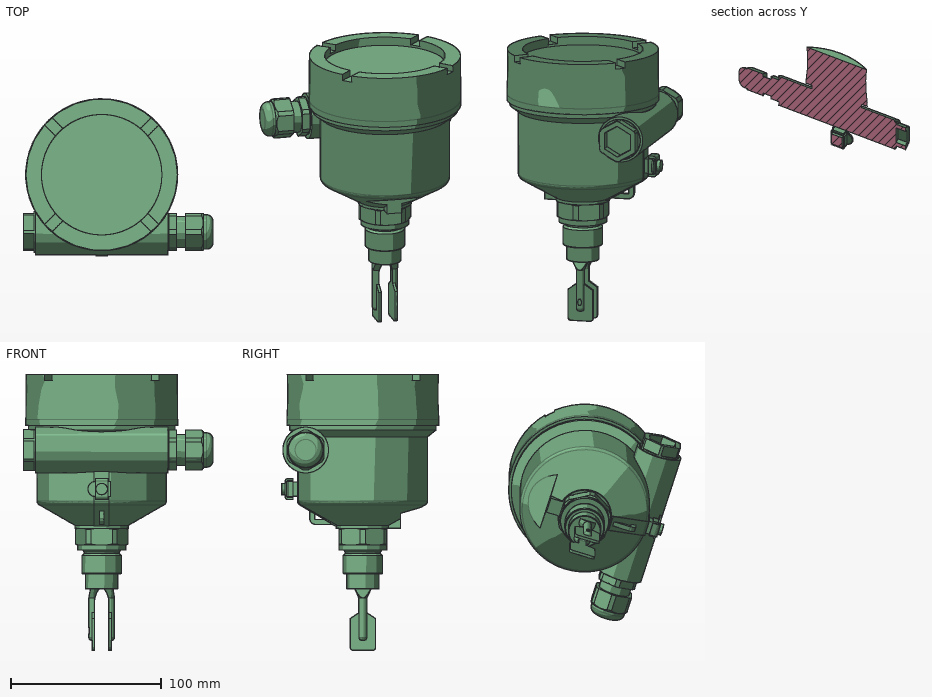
import cadquery as cq
import math


total_height = 183.3
lid_top_radius = 50.2
lid_rim_radius = 50.5
lid_bottom_z = 149.3
lid_rim_height = 4.0
lid_recess_radius = 40.0
lid_recess_depth = 5.7
lid_notch_width = 7.0
lid_notch_depth = 4.2
lid_notch_count = 4
lid_notch_first_angle = 45

collar_radius = 48.7
collar_bottom_z = 146.3
collar_cone_bottom_z = 141.8
body_radius = 43.0
body_bottom_z = 97.5
body_edge_fillet = 3.0
neck_radius = 17.8
neck_top_z = 83.0
neck_bottom_z = 81.0

relief_y = 25.0
relief_inner_z = 90.9
relief_outer_y = 41.0
relief_outer_z = 95.6
rear_block_width = 10.0

strip_width = 10.0
strip_thickness = 0.5
eye_width = 3.0
eye_bar = 3.4
eye_front_y = -35.3
eye_bottom_z = 83.5
eye_corner_radius = 4.0

connection_hex_flats = 32.0
connection_hex_round = 17.5
connection_hex_chamfer = 0.6
connection_hex_bottom_z = 70.0
washer_radius = 16.0
washer_bottom_z = 66.5
groove_top_radius = 12.6
groove_radius = 11.7
groove_top_z = 65.3
groove_bottom_z = 64.3
thread_radius = 13.2
thread_top_z = 62.9
thread_bottom_z = 50.7
thread_chamfer = 0.6
stem_radius = 10.8
stem_bottom_z = 40.6
stem_chamfer = 0.4

tine_radius = 2.75
tine_center_x = 5.85
tine_inner_x = 4.6
tine_top_z = 34.8
tine_bottom_z = 6.6
tine_end_fillet = 2.0
root_radius = 5.4
root_outer_x = 7.6
root_inner_x = 1.8
root_arch_bottom_z = 33.5
root_arch_mid = (3.6, 37.4)
paddle_thickness = 1.8
paddle_width = 17.0
paddle_shoulder_z = 21.1
paddle_top_z = 25.0
paddle_corner_radius = 2.0
dimple_width = 2.6
dimple_height = 4.4
dimple_center_z = 13.0
dimple_depth = 0.5

tube_y = -38.0
tube_z = 133.0
tube_radius = 15.2
tube_half_length = 44.0

fitting_hex_flats = 24.5
plug_round = 13.65
plug_collar_length = 1.0
plug_hex_length = 7.0
plug_socket_flats = 18.0
plug_socket_depth = 7.0

gland_round = 13.35
gland_gap = 0.6
gland_gap_radius = 12.25
gland_hex_end_x = 49.7
gland_neck_radius = 10.4
gland_neck_end_x = 55.6
gland_nut_end_x = 67.7
gland_nut_chamfer = 1.4
gland_cap_radius = 11.5
gland_cap_end_x = 74.0
gland_cap_fillet = 4.5

terminal_z = 107.1
terminal_boss_height = 9.6
terminal_boss_end_y = -46.3
terminal_pad_width = 10.4
terminal_pad_height = 10.2
terminal_pad_end_y = -49.7
terminal_washer_radius = 5.1
terminal_washer_center_x = -4.0
terminal_washer_right_x = 6.0
terminal_washer_end_y = -50.8
clamp_width = 8.5
clamp_front_y = -51.6
clamp_height = 14.0
clamp_thickness = 1.5
clamp_fillet = 1.8
screw_radius = 3.8
screw_end_y = -53.95


def cylinder_x(radius, start_x, end_x):
    """Cylinder on the tube axis between two X positions."""
    return (
        cq.Workplane("YZ", origin=(start_x, tube_y, tube_z))
        .circle(radius)
        .extrude(end_x - start_x)
    )


def hex_x(flats, start_x, end_x):
    """Hexagonal bar on the tube axis with corners up and down."""
    corner_diameter = flats / math.cos(math.pi / 6)
    return (
        cq.Workplane("YZ", origin=(start_x, tube_y, tube_z))
        .transformed(rotate=(0, 0, 90))
        .polygon(6, corner_diameter)
        .extrude(end_x - start_x)
    )


def prism_x(points, width):
    """Prism with a YZ outline, centred on X = 0."""
    return cq.Workplane("YZ").polyline(points).close().extrude(width / 2, both=True)


def make_lid():
    rim_top_z = lid_bottom_z + lid_rim_height
    lid = (
        cq.Workplane("XZ")
        .polyline([
            (0, lid_bottom_z),
            (lid_rim_radius, lid_bottom_z),
            (lid_rim_radius, rim_top_z),
            (lid_top_radius, total_height),
            (0, total_height),
        ])
        .close()
        .revolve(360, (0, 0), (0, 1))
    )
    recess = (
        cq.Workplane("XY", origin=(0, 0, total_height - lid_recess_depth))
        .circle(lid_recess_radius)
        .extrude(lid_recess_depth)
    )
    lid = lid.cut(recess)
    notch_length = 2 * lid_rim_radius - lid_recess_radius
    for index in range(lid_notch_count):
        notch = (
            cq.Workplane("XY", origin=(0, 0, total_height - lid_notch_depth))
            .center(notch_length, 0)
            .rect(notch_length, lid_notch_width)
            .extrude(lid_notch_depth)
            .rotate((0, 0, 0), (0, 0, 1), lid_notch_first_angle + index * 360 / lid_notch_count)
        )
        lid = lid.cut(notch)
    return lid


def make_housing():
    housing = (
        cq.Workplane("XZ")
        .polyline([
            (0, lid_bottom_z),
            (collar_radius, lid_bottom_z),
            (collar_radius, collar_bottom_z),
            (body_radius, collar_cone_bottom_z),
            (body_radius, body_bottom_z),
            (neck_radius, neck_top_z),
            (neck_radius, neck_bottom_z),
            (0, neck_bottom_z),
        ])
        .close()
        .revolve(360, (0, 0), (0, 1))
    )
    lower_edge = cq.selectors.NearestToPointSelector((0, 0, body_bottom_z))
    housing = housing.edges(lower_edge).fillet(body_edge_fillet)
    relief = prism_x(
        [
            (relief_y, neck_bottom_z),
            (relief_y, relief_inner_z),
            (relief_outer_y, relief_outer_z),
            (relief_outer_y, neck_bottom_z),
        ],
        2 * body_radius,
    )
    rear_block = prism_x(
        [(0, neck_bottom_z), (relief_y, neck_bottom_z), (relief_y, relief_inner_z), (0, relief_inner_z)],
        rear_block_width,
    )
    return housing.cut(relief).union(rear_block)


def make_strip():
    front_y = -body_radius - strip_thickness
    strip = prism_x(
        [
            (0, tube_z),
            (front_y, tube_z),
            (front_y, body_bottom_z),
            (-neck_radius - strip_thickness, neck_top_z - strip_thickness),
            (0, neck_top_z - strip_thickness),
        ],
        strip_width,
    )
    lower_edge = cq.selectors.NearestToPointSelector((0, front_y, body_bottom_z))
    return strip.edges(lower_edge).fillet(body_edge_fillet)


def make_cable_eye():
    """L-shaped bar that leaves an opening against the cone."""
    inner_y = eye_front_y + eye_bar
    inner_z = eye_bottom_z + eye_bar
    cone_slope = (body_bottom_z - neck_top_z) / (body_radius - neck_radius)
    upright_top_z = neck_top_z + cone_slope * (-inner_y - neck_radius)
    eye = prism_x(
        [
            (-neck_radius, eye_bottom_z),
            (eye_front_y, eye_bottom_z),
            (eye_front_y, upright_top_z + eye_bar / 2),
            (inner_y, upright_top_z + eye_bar / 2),
            (inner_y, inner_z),
            (-neck_radius, inner_z),
        ],
        eye_width,
    )
    corner = cq.selectors.NearestToPointSelector((0, eye_front_y, eye_bottom_z))
    return eye.edges(corner).fillet(eye_corner_radius)


def make_connection():
    hex_corner_diameter = connection_hex_flats / math.cos(math.pi / 6)
    hex_height = neck_bottom_z - connection_hex_bottom_z
    hex_body = (
        cq.Workplane("XY", origin=(0, 0, connection_hex_bottom_z))
        .polygon(6, hex_corner_diameter)
        .extrude(hex_height)
    )
    hex_round = (
        cq.Workplane("XY", origin=(0, 0, connection_hex_bottom_z))
        .circle(connection_hex_round)
        .extrude(hex_height)
        .edges()
        .chamfer(connection_hex_chamfer, 2 * connection_hex_chamfer)
    )
    turned = (
        cq.Workplane("XZ")
        .polyline([
            (0, connection_hex_bottom_z),
            (washer_radius, connection_hex_bottom_z),
            (washer_radius, washer_bottom_z),
            (groove_top_radius, washer_bottom_z),
            (groove_radius, groove_top_z),
            (groove_radius, groove_bottom_z),
            (thread_radius, thread_top_z),
            (thread_radius, thread_bottom_z + thread_chamfer),
            (thread_radius - thread_chamfer, thread_bottom_z),
            (stem_radius, thread_bottom_z),
            (stem_radius, stem_bottom_z + stem_chamfer),
            (stem_radius - stem_chamfer, stem_bottom_z),
            (0, stem_bottom_z),
        ])
        .close()
        .revolve(360, (0, 0), (0, 1))
    )
    return turned.union(hex_body.intersect(hex_round))


def make_tine():
    """Tine on the +X side: flared root, half-round rod and flat paddle."""
    tine_outer_x = tine_center_x + tine_radius
    rod = (
        cq.Workplane("XY", origin=(tine_center_x, 0, tine_bottom_z))
        .circle(tine_radius)
        .extrude(tine_top_z - tine_bottom_z)
        .faces("<Z")
        .edges()
        .fillet(tine_end_fillet)
    )
    root = (
        cq.Workplane("XY", origin=(tine_center_x, 0, root_arch_bottom_z))
        .circle(tine_radius)
        .extrude(tine_top_z - root_arch_bottom_z)
        .faces(">Z")
        .workplane()
        .circle(tine_radius)
        .workplane(offset=stem_bottom_z - tine_top_z)
        .circle(root_radius)
        .loft()
    )
    side_outline = (
        cq.Workplane("XZ")
        .moveTo(tine_inner_x, 0)
        .lineTo(tine_inner_x, root_arch_bottom_z)
        .threePointArc(root_arch_mid, (root_inner_x, stem_bottom_z))
        .lineTo(root_outer_x, stem_bottom_z)
        .lineTo(tine_outer_x, tine_top_z)
        .lineTo(tine_outer_x, 0)
        .close()
        .extrude(root_radius, both=True)
    )
    half_width = paddle_width / 2
    paddle = (
        cq.Workplane("YZ", origin=(tine_inner_x, 0, 0))
        .polyline([
            (-half_width, 0),
            (half_width, 0),
            (half_width, paddle_shoulder_z),
            (tine_radius, paddle_top_z),
            (-tine_radius, paddle_top_z),
            (-half_width, paddle_shoulder_z),
        ])
        .close()
        .extrude(paddle_thickness)
        .edges("|X and <Z")
        .fillet(paddle_corner_radius)
    )
    return rod.union(root).intersect(side_outline).union(paddle)


def make_fork():
    right_tine = make_tine()
    left_tine = right_tine.mirror("YZ")
    dimple = (
        cq.Workplane("YZ", origin=(-tine_center_x - tine_radius, 0, dimple_center_z))
        .ellipse(dimple_width / 2, dimple_height / 2)
        .extrude(dimple_depth)
    )
    return right_tine, left_tine.cut(dimple)


def make_plug():
    collar_start_x = -tube_half_length - plug_collar_length
    hex_start_x = collar_start_x - plug_hex_length
    collar = cylinder_x(plug_round, collar_start_x, -tube_half_length)
    head = hex_x(fitting_hex_flats, hex_start_x, collar_start_x)
    head = head.intersect(cylinder_x(plug_round, hex_start_x, collar_start_x))
    socket = hex_x(plug_socket_flats, hex_start_x, hex_start_x + plug_socket_depth)
    return collar.union(head).cut(socket)


def make_gland():
    hex_start_x = tube_half_length + gland_gap
    gap = cylinder_x(gland_gap_radius, tube_half_length, hex_start_x)
    base = hex_x(fitting_hex_flats, hex_start_x, gland_hex_end_x)
    base = base.intersect(cylinder_x(gland_round, hex_start_x, gland_hex_end_x))
    neck = cylinder_x(gland_neck_radius, gland_hex_end_x, gland_neck_end_x)
    nut_round = cylinder_x(gland_round, gland_neck_end_x, gland_nut_end_x)
    nut_round = nut_round.faces(">X").edges().chamfer(gland_nut_chamfer)
    nut = hex_x(fitting_hex_flats, gland_neck_end_x, gland_nut_end_x).intersect(nut_round)
    cap = cylinder_x(gland_cap_radius, gland_nut_end_x, gland_cap_end_x)
    cap = cap.faces(">X").edges().fillet(gland_cap_fillet)
    return gap.union(base).union(neck).union(nut).union(cap)


def front_plane(start_y):
    """Work plane at the terminal height whose normal points toward -Y."""
    return cq.Workplane("XZ", origin=(0, start_y, terminal_z))


def terminal_block(width, height, start_y, end_y):
    """Rectangular block of the terminal between two Y positions."""
    return front_plane(start_y).rect(width, height).extrude(start_y - end_y)


def make_terminal():
    boss = terminal_block(clamp_width, terminal_boss_height, 0, terminal_boss_end_y)
    pad = terminal_block(terminal_pad_width, terminal_pad_height, terminal_boss_end_y, terminal_pad_end_y)
    washer_tip_x = terminal_washer_center_x - terminal_washer_radius
    washer = (
        front_plane(terminal_pad_end_y)
        .moveTo(terminal_washer_right_x, terminal_washer_radius)
        .lineTo(terminal_washer_center_x, terminal_washer_radius)
        .threePointArc((washer_tip_x, 0), (terminal_washer_center_x, -terminal_washer_radius))
        .lineTo(terminal_washer_right_x, -terminal_washer_radius)
        .close()
        .extrude(terminal_pad_end_y - terminal_washer_end_y)
    )
    clamp = terminal_block(clamp_width, clamp_height, terminal_boss_end_y, clamp_front_y)
    clamp = clamp.faces("<Y").edges("|X").fillet(clamp_fillet)
    opening_height = clamp_height - 2 * clamp_thickness
    opening_end_y = clamp_front_y + clamp_thickness
    opening = terminal_block(clamp_width, opening_height, terminal_boss_end_y, opening_end_y)
    opening = opening.faces("<Y").edges("|X").fillet(clamp_fillet - clamp_thickness)
    screw = front_plane(clamp_front_y).circle(screw_radius).extrude(clamp_front_y - screw_end_y)
    return boss.union(pad).union(washer).union(clamp.cut(opening)).union(screw)


result = make_housing()
features = [
    make_lid(),
    make_strip(),
    make_cable_eye(),
    cylinder_x(tube_radius, -tube_half_length, tube_half_length),
    make_plug(),
    make_gland(),
    make_terminal(),
    make_connection(),
    *make_fork(),
]
for feature in features:
    result = result.union(feature)